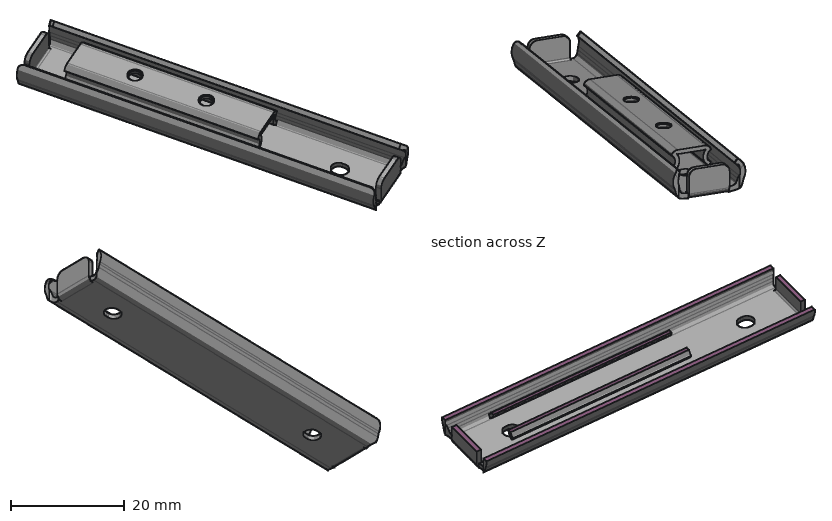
import cadquery as cq
import math

rail_length = 70.0
rail_half_width = 6.99
sheet = 1.0
half_length = rail_length / 2

wall_lean = 15.0
curl_lean = 25.0
blend_radius = 2.5
outer_lip_angle = 50.0
inner_lip_angle = 55.5
bend_radius = 1.97
curl_radius = 2.83
curl_z = 3.7
lip_corner = 1.0

stop_half_width = 3.9
stop_height = 5.55
stop_corner = 1.4
stop_bend_radius = 1.05
stop_inner_radius = 0.35
relief_depth = 0.65
relief_width = 2.0
relief_step = 0.4
relief_deepest_y = 4.65

rail_hole_x = 25.0
rail_hole_length = 3.3
rail_hole_width = 2.8

slider_length = 38.0
slider_x = -8.2
slider_top = 6.4
slider_sheet = 0.8
slider_flat_half_width = 2.6
slider_corner_radius = 1.3
groove_waist = 3.1
groove_radius = 1.3
groove_z = 4.3
leg_end_angle = 242.0
slider_hole_pitch = 14.0
slider_hole_diameter = 2.4
slider_hole_mouth = 2.8
countersink_angle = 90.0


def on_circle(center, radius, angle):
    """Point (y, z) on a circle; angle in degrees from +Y toward +Z."""
    a = math.radians(angle)
    return (center[0] + radius * math.cos(a), center[1] + radius * math.sin(a))


def rail_section():
    """Full-length rail channel, symmetric about the XZ plane, with rounded lip ends."""
    curl_center = (rail_half_width - curl_radius, curl_z)
    lean = math.radians(wall_lean)
    blend_center = on_circle(curl_center, curl_radius + blend_radius, -curl_lean)
    wall_top = on_circle(blend_center, blend_radius, 180 - wall_lean)
    bend_edge_z = bend_radius * (1 - math.sin(lean))
    bend_edge_y = wall_top[0] - (wall_top[1] - bend_edge_z) * math.tan(lean)
    bend_y = bend_edge_y - bend_radius * math.cos(lean)
    bend_center = (bend_y, bend_radius)
    bend_mid = (-90 - wall_lean) / 2

    def wall_side(offset, lip_angle):
        bend = bend_radius - offset
        blend = blend_radius + offset
        curl = curl_radius - offset
        return [
            (bend_y, offset),
            on_circle(bend_center, bend, bend_mid),
            on_circle(bend_center, bend, -wall_lean),
            on_circle(blend_center, blend, 180 - wall_lean),
            on_circle(blend_center, blend, 180 - (wall_lean + curl_lean) / 2),
            on_circle(curl_center, curl, -curl_lean),
            on_circle(curl_center, curl, (lip_angle - curl_lean) / 2),
            on_circle(curl_center, curl, lip_angle),
        ]

    outer = wall_side(0, outer_lip_angle)
    inner = wall_side(sheet, inner_lip_angle)
    half = (
        cq.Workplane("YZ", origin=(-half_length, 0, 0))
        .moveTo(0, 0)
        .lineTo(*outer[0])
        .threePointArc(outer[1], outer[2])
        .lineTo(*outer[3])
        .threePointArc(outer[4], outer[5])
        .threePointArc(outer[6], outer[7])
        .lineTo(*inner[7])
        .threePointArc(inner[6], inner[5])
        .threePointArc(inner[4], inner[3])
        .lineTo(*inner[2])
        .threePointArc(inner[1], inner[0])
        .lineTo(0, sheet)
        .close()
        .extrude(rail_length)
    )
    tip = outer[-1]
    turn = math.radians(outer_lip_angle)
    lip_plane = cq.Plane(
        origin=(0, tip[0], tip[1]),
        xDir=(1, 0, 0),
        normal=(0, math.cos(turn), math.sin(turn)),
    )
    for side in (-1, 1):
        corner = (
            cq.Workplane(lip_plane)
            .moveTo(side * half_length, -sheet)
            .lineTo(side * (half_length - lip_corner), -sheet)
            .lineTo(side * (half_length - lip_corner), 0)
            .radiusArc((side * half_length, lip_corner), -side * lip_corner)
            .close()
            .extrude(sheet * 1.5, both=True)
        )
        half = half.cut(corner)
    return half.union(half.mirror("XZ"))


def end_stop():
    """Upright stop at the -X end, bent up from the floor."""
    floor_joint = sheet + stop_inner_radius
    side = (
        cq.Workplane("XZ", origin=(-half_length, stop_half_width, 0))
        .moveTo(floor_joint, 0)
        .lineTo(stop_bend_radius, 0)
        .radiusArc((0, stop_bend_radius), stop_bend_radius)
        .lineTo(0, stop_height)
        .lineTo(sheet, stop_height)
        .lineTo(sheet, floor_joint)
        .radiusArc((floor_joint, sheet), -stop_inner_radius)
        .close()
        .extrude(2 * stop_half_width)
    )
    return side.edges("|X").edges(">Z").fillet(stop_corner)


def end_clearance():
    """Volume removed at the -X end: floor under the stop and the side reliefs."""
    floor = cq.Workplane("XY").box(
        sheet + stop_inner_radius, 2 * stop_half_width, sheet, centered=(False, True, False)
    )
    relief = (
        cq.Workplane("XY")
        .moveTo(0, stop_half_width)
        .lineTo(relief_step, stop_half_width)
        .threePointArc((relief_depth, relief_deepest_y), (0, stop_half_width + relief_width))
        .close()
        .extrude(slider_top)
    )
    cut = floor.union(relief).union(relief.mirror("XZ"))
    return cut.translate((-half_length, 0, 0))


def make_rail():
    rail = rail_section()
    clearance = end_clearance()
    stop = end_stop()
    rail = rail.cut(clearance).cut(clearance.mirror("YZ"))
    rail = rail.union(stop).union(stop.mirror("YZ"))
    holes = (
        cq.Workplane("XY")
        .pushPoints([(-rail_hole_x, 0), (rail_hole_x, 0)])
        .slot2D(rail_hole_length, rail_hole_width)
        .extrude(sheet)
    )
    return rail.cut(holes)


def slider_half():
    """Half of the slider on the +Y side."""
    corner = (slider_flat_half_width, slider_top - slider_corner_radius)
    groove = (groove_waist + groove_radius, groove_z)
    dy = groove[0] - corner[0]
    dz = groove[1] - corner[1]
    gap = math.hypot(dy, dz)
    cosine = (slider_corner_radius**2 + gap**2 - groove_radius**2) / (2 * slider_corner_radius * gap)
    rim_angle = math.degrees(math.atan2(dz, dy) + math.acos(cosine))
    rim = on_circle(corner, slider_corner_radius, rim_angle)

    inner_radius = groove_radius + slider_sheet
    inner_top = slider_top - slider_sheet
    inner_y = groove[0] - math.sqrt(inner_radius**2 - (inner_top - groove_z) ** 2)
    return (
        cq.Workplane("YZ", origin=(slider_x - slider_length / 2, 0, 0))
        .moveTo(0, slider_top)
        .lineTo(slider_flat_half_width, slider_top)
        .threePointArc(on_circle(corner, slider_corner_radius, (90 + rim_angle) / 2), rim)
        .threePointArc((groove_waist, groove_z), on_circle(groove, groove_radius, leg_end_angle))
        .lineTo(*on_circle(groove, inner_radius, leg_end_angle))
        .threePointArc((groove_waist - slider_sheet, groove_z), (inner_y, inner_top))
        .lineTo(0, inner_top)
        .close()
        .extrude(slider_length)
    )


def make_slider():
    half = slider_half()
    return (
        half.union(half.mirror("XZ"))
        .faces(">Z")
        .workplane(origin=(slider_x, 0, slider_top))
        .pushPoints([(-slider_hole_pitch / 2, 0), (slider_hole_pitch / 2, 0)])
        .cskHole(slider_hole_diameter, slider_hole_mouth, countersink_angle, depth=slider_sheet)
    )


rail = make_rail()
slider = make_slider()
result = cq.Compound.makeCompound([rail.val(), slider.val()])